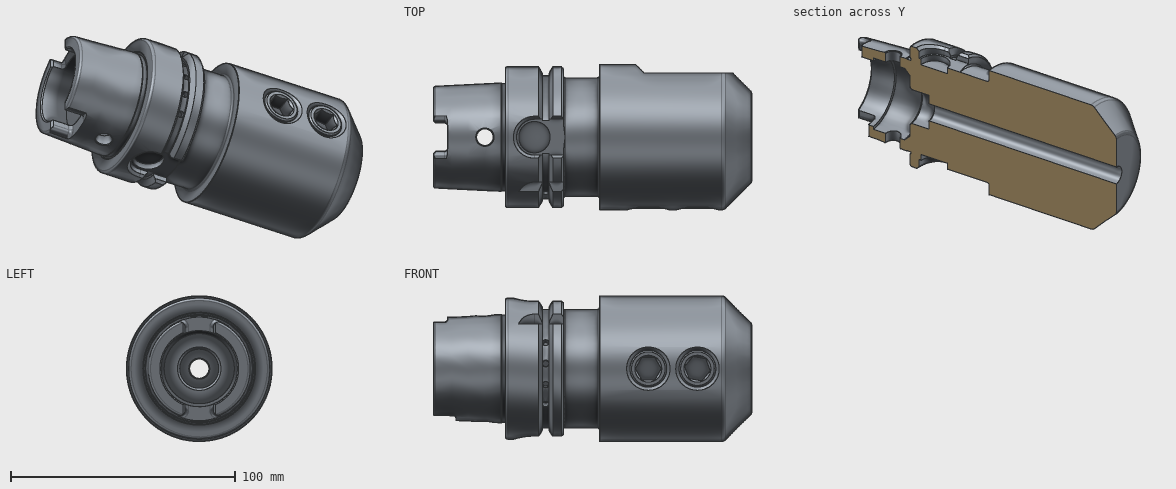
import cadquery as cq
import math


shank_length = 32.0
taper_radius_at_face = 24.3
taper_slope = 0.05
shank_tip_fillet = 1.0
undercut_width = 1.9
undercut_radius = 24.0
undercut_lead = 0.4
face_recess_depth = 0.4
face_recess_radius = 25.2

bore_mouth_radius = 17.0
bore_mouth_chamfer = 0.6
bore_cylinder_depth = 12.7
bore_chamber_radius = 18.5
bore_floor_radius = 15.65
bore_floor_x = 0.0
counterbore_radius = 8.7
counterbore_chamfer = 1.0
counterbore_depth = 10.0
passage_radius = 4.3
passage_chamfer = 0.4

notch_half_width = 6.27
notch_depths = {1: 6.3, -1: 10.0}
notch_round = 2.3
notch_floor_fillet = 1.5
notch_tip_chamfer = 1.0

cross_hole_x = -9.1
cross_hole_radius = 3.7
cross_hole_chamfer = 0.4

flange_radius = 31.5
flange_length = 26.0
flange_face_fillet = 1.1
flange_back_chamfer = 1.0
groove_x = 18.0
groove_radius = 27.5
groove_half_floor = 1.5
groove_half_mouth = 3.2
groove_flank_angle = math.radians(30)

slot_x = 13.0
slot_half_width = 8.0
slot_floor_height = 26.5
slot_chamfer = 1.4
slot_pocket_radius = 7.0
slot_pocket_depth = 3.0

corner_notch_offset = 20.0
corner_notch_x = 13.1
corner_cutter_radius = 8.0

groove_hole_radius = 1.45
groove_hole_depth = 3.0
groove_hole_angles = (25, 5, -15, -35)

neck_radius = 26.5
neck_front_fillet = 0.7
neck_rear_fillet = 0.9
head_start = 42.0
head_end = 110.0
head_radius = 32.5
head_rear_chamfer = 0.2
head_cone_start = 97.5
head_cone_fillet = 2.4
head_tip_fillet = 2.4
flat_height = 28.7
flat_start = 58.0

screw_turns = {63.8: 0, 85.7: -10}
screw_radius = 8.2
screw_face_depth = 0.7
screw_length = 20.0
screw_chamfer = 0.7
screw_hole_chamfer = 1.5
hex_across_flats = 10.0
hex_depth = 8.0
hex_countersink_radius = 6.0

clearance = 1.0
margin = 0.2

screw_face_y = -(head_radius - screw_face_depth)


def taper_radius(x):
    return taper_radius_at_face + taper_slope * x


def revolve_x(points):
    return cq.Workplane("XY").polyline(points).close().revolve(360, (0, 0, 0), (1, 0, 0))


def make_shank():
    tip = -shank_length
    shank = revolve_x([
        (tip, 0),
        (tip, taper_radius(tip)),
        (-undercut_width, taper_radius(-undercut_width)),
        (-undercut_width + undercut_lead, undercut_radius),
        (face_recess_depth, undercut_radius),
        (face_recess_depth, 0),
    ])
    shank = shank.faces("<X").edges().fillet(shank_tip_fillet)
    cross_hole = cq.Workplane("XY", origin=(cross_hole_x, 0, 0)).circle(cross_hole_radius)
    shank = shank.cut(cross_hole.extrude(flange_radius, both=True))
    reach = cross_hole_radius + margin
    for side in (1, -1):
        rim = cq.selectors.BoxSelector(
            (cross_hole_x - reach, -reach, side * bore_chamber_radius),
            (cross_hole_x + reach, reach, side * flange_radius),
            boundingbox=True,
        )
        shank = shank.edges(rim).chamfer(cross_hole_chamfer)
    return shank


def shank_bore():
    tip = -shank_length
    counterbore_floor = bore_floor_x + counterbore_depth
    return revolve_x([
        (tip, 0),
        (tip, bore_mouth_radius + bore_mouth_chamfer),
        (tip + bore_mouth_chamfer, bore_mouth_radius),
        (tip + bore_cylinder_depth, bore_mouth_radius),
        (tip + bore_cylinder_depth, bore_chamber_radius),
        (bore_floor_x - (bore_chamber_radius - bore_floor_radius), bore_chamber_radius),
        (bore_floor_x, bore_floor_radius),
        (bore_floor_x, counterbore_radius + counterbore_chamfer),
        (bore_floor_x + counterbore_chamfer, counterbore_radius),
        (counterbore_floor, counterbore_radius),
        (counterbore_floor, passage_radius + passage_chamfer),
        (counterbore_floor + passage_chamfer, passage_radius),
        (head_end, passage_radius),
        (head_end, 0),
    ])


def drive_notch(side):
    """Notch whose walls round over into the taper; side is +1 for +Z and -1 for -Z."""
    tip = -shank_length
    depth = notch_depths[side]
    outer = taper_radius(tip)
    round_y = notch_half_width + notch_round
    round_z = math.sqrt((outer - notch_round) ** 2 - round_y ** 2)
    round_angle = math.atan2(round_z, round_y)
    mid_angle = (math.pi + round_angle) / 2
    rounding_mid = (
        round_y + notch_round * math.cos(mid_angle),
        round_z + notch_round * math.sin(mid_angle),
    )
    rounding_end = (outer * math.cos(round_angle), outer * math.sin(round_angle))
    clear_z = outer + 2 * notch_round
    profile = (
        cq.Workplane("YZ", origin=(tip, 0, 0))
        .moveTo(-notch_half_width, 0)
        .lineTo(notch_half_width, 0)
        .lineTo(notch_half_width, round_z)
        .threePointArc(rounding_mid, rounding_end)
        .lineTo(rounding_end[0], clear_z)
        .lineTo(-rounding_end[0], clear_z)
        .lineTo(-rounding_end[0], rounding_end[1])
        .threePointArc((-rounding_mid[0], rounding_mid[1]), (-notch_half_width, round_z))
        .close()
    )
    notch = profile.extrude(depth)
    floor_x = tip + depth
    floor_edges = cq.selectors.BoxSelector(
        (floor_x - margin, -round_y, margin),
        (floor_x + margin, round_y, round_z + notch_round),
    )
    notch = notch.edges(floor_edges).edges("not(|Y)").fillet(notch_floor_fillet)
    wide = notch_half_width + notch_tip_chamfer
    tip_chamfer = (
        cq.Workplane("XY")
        .polyline([
            (tip, -wide),
            (tip, wide),
            (tip + notch_tip_chamfer, notch_half_width),
            (tip + notch_tip_chamfer, -notch_half_width),
        ])
        .close()
        .extrude(outer)
    )
    notch = notch.union(tip_chamfer)
    return notch if side > 0 else notch.mirror("XY")


def make_flange():
    """Flange with its gripper slots; the slot rims are chamfered before the groove breaks them."""
    flange = cq.Workplane("YZ").circle(flange_radius).extrude(flange_length)
    flange = flange.faces("<X").edges().fillet(flange_face_fillet)
    flange = flange.faces(">X").edges().chamfer(flange_back_chamfer)
    reach = slot_half_width + margin
    for side in (1, -1):
        flange = flange.cut(gripper_slot(side))
        rim = cq.selectors.BoxSelector(
            (slot_x - reach, -reach, side * (slot_floor_height + clearance)),
            (flange_length - flange_back_chamfer, reach, side * (flange_radius + clearance)),
        )
        flange = flange.edges(rim).chamfer(slot_chamfer)
    return flange.cut(flange_groove()).cut(face_recess())


def gripper_slot(side):
    height = flange_radius - slot_floor_height + clearance
    floor = cq.Workplane("XY", origin=(0, 0, slot_floor_height))
    run = flange_length - slot_x + clearance
    cutter = floor.center(slot_x, 0).circle(slot_half_width).extrude(height)
    cutter = cutter.union(
        floor.center(slot_x + run / 2, 0).rect(run, 2 * slot_half_width).extrude(height)
    )
    return cutter if side > 0 else cutter.mirror("XY")


def slot_pocket(side):
    depth = -side * slot_pocket_depth
    floor = cq.Workplane("XY", origin=(slot_x, 0, side * slot_floor_height))
    return floor.circle(slot_pocket_radius).extrude(depth)


def flange_groove():
    flank_base = flange_radius - (groove_half_mouth - groove_half_floor) / math.tan(groove_flank_angle)
    return revolve_x([
        (groove_x - groove_half_floor, groove_radius),
        (groove_x - groove_half_floor, flank_base),
        (groove_x - groove_half_mouth, flange_radius),
        (groove_x - groove_half_mouth, flange_radius + clearance),
        (groove_x + groove_half_mouth, flange_radius + clearance),
        (groove_x + groove_half_mouth, flange_radius),
        (groove_x + groove_half_floor, flank_base),
        (groove_x + groove_half_floor, groove_radius),
    ])


def face_recess():
    """Undercut in the seating face around the root of the taper."""
    return revolve_x([
        (0, undercut_radius),
        (face_recess_depth, undercut_radius),
        (face_recess_depth, face_recess_radius - face_recess_depth),
        (0, face_recess_radius),
    ])


def corner_notch():
    """Square notch that breaks out at the back of the flange and ends in the round left by an end mill."""
    run = flange_length - corner_notch_x
    reach = 2 * corner_cutter_radius
    plane = cq.Workplane("XY", origin=(corner_notch_x, -corner_notch_offset, corner_notch_offset))
    milled_end = plane.center(0, -corner_cutter_radius).circle(corner_cutter_radius).extrude(flange_radius)
    straight = plane.rect(run, -reach, centered=False).extrude(flange_radius)
    return milled_end.union(straight)


def groove_hole(angle):
    direction = cq.Vector(0, -math.cos(math.radians(angle)), math.sin(math.radians(angle)))
    bottom = cq.Vector(groove_x, 0, 0) + direction * (groove_radius - groove_hole_depth)
    return cq.Solid.makeCylinder(groove_hole_radius, groove_hole_depth + clearance, bottom, direction)


def make_neck():
    front = flange_length + neck_front_fillet
    rear = head_start - neck_rear_fillet
    bulge = math.sqrt(0.5)
    front_center = (front, neck_radius + neck_front_fillet)
    rear_center = (rear, neck_radius + neck_rear_fillet)
    return (
        cq.Workplane("XY")
        .moveTo(0, 0)
        .lineTo(0, undercut_radius)
        .lineTo(groove_x, undercut_radius)
        .lineTo(groove_x, neck_radius)
        .lineTo(flange_length, neck_radius)
        .lineTo(flange_length, front_center[1])
        .threePointArc(
            (front - neck_front_fillet * bulge, front_center[1] - neck_front_fillet * bulge),
            (front, neck_radius),
        )
        .lineTo(rear, neck_radius)
        .threePointArc(
            (rear + neck_rear_fillet * bulge, rear_center[1] - neck_rear_fillet * bulge),
            (head_start, rear_center[1]),
        )
        .lineTo(head_start, 0)
        .close()
        .revolve(360, (0, 0, 0), (1, 0, 0))
    )


def make_head():
    tip_radius = head_radius - (head_end - head_cone_start)
    head = revolve_x([
        (head_start, 0),
        (head_start, head_radius),
        (head_cone_start, head_radius),
        (head_end, tip_radius),
        (head_end, 0),
    ])
    head = head.faces("<X").edges().chamfer(head_rear_chamfer)
    head = head.faces(">X").edges().fillet(head_tip_fillet)
    cone_edge = cq.selectors.BoxSelector(
        (head_cone_start - margin, -head_radius - margin, -head_radius - margin),
        (head_cone_start + margin, head_radius + margin, head_radius + margin),
        boundingbox=True,
    )
    head = head.edges(cone_edge).fillet(head_cone_fillet)
    step = head_radius - flat_height
    flat = (
        cq.Workplane("XY", origin=(0, 0, -head_radius))
        .polyline([
            (flat_start, head_radius),
            (flat_start + step, flat_height),
            (head_end, flat_height),
            (head_end, head_radius),
        ])
        .close()
        .extrude(2 * head_radius)
    )
    head = head.cut(flat)
    for x in screw_turns:
        head = head.cut(screw_hole(x))
        rim = cq.selectors.BoxSelector(
            (x - screw_radius - margin, -head_radius - margin, -screw_radius - margin),
            (x + screw_radius + margin, -head_radius / 2, screw_radius + margin),
            boundingbox=True,
        )
        head = head.edges(rim).chamfer(screw_hole_chamfer)
    return head


def screw_hole(x):
    bottom_y = screw_face_y + screw_length
    bottom = cq.Workplane("XZ", origin=(x, bottom_y, 0))
    return bottom.circle(screw_radius).extrude(head_radius + bottom_y + clearance)


def make_body():
    body = make_shank().union(make_neck()).union(make_flange()).union(make_head())
    body = body.cut(shank_bore())
    for side in (1, -1):
        body = body.cut(drive_notch(side))
        body = body.cut(gripper_slot(side))
        body = body.cut(slot_pocket(side))
    body = body.cut(corner_notch())
    for angle in groove_hole_angles:
        body = body.cut(cq.Workplane(groove_hole(angle)))
    return body


def make_screw(x, turn):
    bottom_y = screw_face_y + screw_length
    screw = cq.Workplane("XZ", origin=(x, bottom_y, 0)).circle(screw_radius).extrude(screw_length)
    screw = screw.faces("<Y").edges().chamfer(screw_chamfer)
    hex_corner_diameter = hex_across_flats / math.cos(math.pi / 6)
    socket = (
        cq.Workplane("XZ", origin=(x, screw_face_y + hex_depth, 0))
        .transformed(rotate=(0, 0, turn))
        .polygon(6, hex_corner_diameter)
        .extrude(hex_depth)
    )
    countersink_depth = hex_countersink_radius - hex_across_flats / 2
    countersink = cq.Workplane(cq.Solid.makeCone(
        hex_countersink_radius, hex_across_flats / 2, countersink_depth,
        cq.Vector(x, screw_face_y, 0), cq.Vector(0, 1, 0),
    ))
    return screw.cut(socket).cut(countersink)


body = make_body()
screws = [make_screw(x, turn).val() for x, turn in screw_turns.items()]
result = cq.Compound.makeCompound([body.val(), *screws])